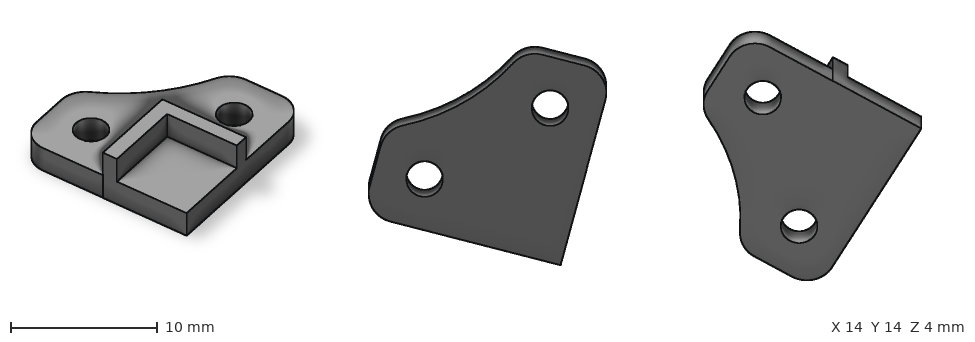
import cadquery as cq
import math

plate_side = 14.0
plate_thickness = 2.0
corner_radius = 2.0
lobe_offset = 4.97
scoop_radius = 14.0

hole_diameter = 2.5
hole_near = 3.5
hole_far = 10.51

block_overhang = 0.01
block_side = 7.0
block_height = 2 * plate_thickness
wall_thickness_x = 1.18
wall_thickness_y = 1.09


def point_from(center, distance, direction):
    """Point at a distance from center along a unit direction."""
    return (center[0] + distance * direction[0], center[1] + distance * direction[1])


def make_plate():
    """Plate whose outline is symmetric about the diagonal x + y = plate_side."""
    r = corner_radius
    s = plate_side
    half_diagonal = math.sqrt(0.5)
    outward = (-half_diagonal, half_diagonal)
    inward = (half_diagonal, -half_diagonal)

    def mirror(point):
        return (s - point[1], s - point[0])

    upper_lobe = (s - lobe_offset, s - r)
    lower_lobe = mirror(upper_lobe)
    lobe_middle = ((upper_lobe[0] + lower_lobe[0]) / 2, (upper_lobe[1] + lower_lobe[1]) / 2)
    half_spacing = math.dist(upper_lobe, lower_lobe) / 2
    center_distance = scoop_radius + r
    scoop_center = point_from(
        lobe_middle, math.sqrt(center_distance**2 - half_spacing**2), outward
    )
    to_scoop = (
        (scoop_center[0] - upper_lobe[0]) / center_distance,
        (scoop_center[1] - upper_lobe[1]) / center_distance,
    )
    upper_tangent = point_from(upper_lobe, r, to_scoop)
    lower_tangent = mirror(upper_tangent)
    scoop_middle = point_from(scoop_center, scoop_radius, inward)

    lobe_mid_angle = (math.pi / 2 + math.atan2(to_scoop[1], to_scoop[0])) / 2
    upper_mid = point_from(upper_lobe, r, (math.cos(lobe_mid_angle), math.sin(lobe_mid_angle)))

    upper_right_mid = point_from((s - r, s - r), r, (half_diagonal, half_diagonal))
    lower_left_mid = point_from((r, r), r, (-half_diagonal, -half_diagonal))
    outline = (
        cq.Workplane("XY")
        .moveTo(r, 0)
        .lineTo(s, 0)
        .lineTo(s, s - r)
        .threePointArc(upper_right_mid, (s - r, s))
        .lineTo(upper_lobe[0], s)
        .threePointArc(upper_mid, upper_tangent)
        .threePointArc(scoop_middle, lower_tangent)
        .threePointArc(mirror(upper_mid), (0, lower_lobe[1]))
        .lineTo(0, r)
        .threePointArc(lower_left_mid, (r, 0))
        .close()
    )
    return outline.extrude(plate_thickness)


def make_block():
    """Block flush with the plate's +X side."""
    return (
        cq.Workplane("XY")
        .box(block_side, block_side, block_height, centered=False)
        .translate((plate_side - block_side, -block_overhang, 0))
    )


def make_block_recess():
    """Space inside the L-shaped wall, open towards +X and -Y."""
    length_x = block_side - wall_thickness_x
    length_y = block_side - wall_thickness_y
    return (
        cq.Workplane("XY")
        .box(length_x, length_y, block_height - plate_thickness, centered=False)
        .translate((plate_side - length_x, -block_overhang, plate_thickness))
    )


def make_holes():
    return (
        cq.Workplane("XY")
        .pushPoints([(hole_near, hole_near), (hole_far, hole_far)])
        .circle(hole_diameter / 2)
        .extrude(plate_thickness)
    )


result = make_plate().union(make_block()).cut(make_block_recess()).cut(make_holes())